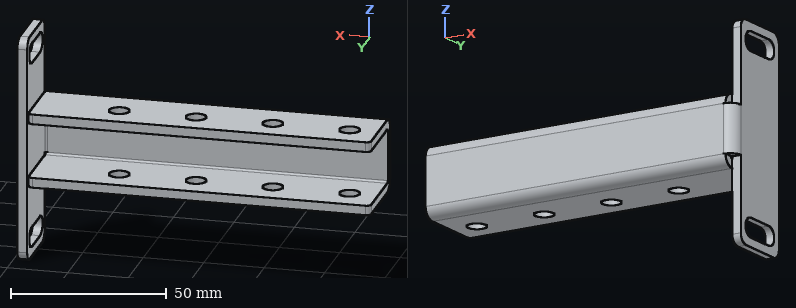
import cadquery as cq

thickness = 3.3
bend_outer_radius = 4.0
bend_inner_radius = bend_outer_radius - thickness
total_length = 116.59
total_depth = 27.3

channel_height = 24.9
flange_depth = 26.6
flange_corner_radius = 1.5

plate_height = 75.69
plate_corner_radius = 3.3
plate_depth = total_depth - bend_outer_radius
plate_inner_x = total_length - thickness

hole_diameter = 6.6
hole_count = 4
hole_pitch = 25.4
first_hole_x = 9.4
hole_y = 16.2

slot_length = 17.4
slot_width = 6.6
slot_spacing = 62.5
slot_y = bend_outer_radius + plate_depth / 2

bend_start_x = total_length - bend_outer_radius
bend_x_range = (bend_start_x, total_length)
bend_y_range = (0, bend_outer_radius)
web_flat_height = channel_height - 2 * bend_outer_radius


def box(x_range, y_range, z_height):
    """Box spanning the given X and Y ranges, centred on Z = 0."""
    (x0, x1), (y0, y1) = x_range, y_range
    block = cq.Workplane("XY").box(x1 - x0, y1 - y0, z_height, centered=(False, False, True))
    return block.translate((x0, y0, 0))


def make_channel():
    """U-shaped arm with rounded long bends and rounded flange corners."""
    arm = (0, plate_inner_x)
    outer = box(arm, (0, flange_depth), channel_height)
    outer = outer.edges("|X and <Y").fillet(bend_outer_radius)
    inner = box(arm, (thickness, flange_depth), channel_height - 2 * thickness)
    inner = inner.edges("|X and <Y").fillet(bend_inner_radius)
    channel = outer.cut(inner)
    channel = channel.edges("|Z and >Y").fillet(flange_corner_radius)
    return channel.cut(box(bend_x_range, bend_y_range, web_flat_height))


def make_end_bend():
    """Quarter-round bend that carries the flat of the web into the plate."""
    ring = (
        cq.Workplane("XY", origin=(0, 0, -web_flat_height / 2))
        .center(bend_start_x, bend_outer_radius)
        .circle(bend_outer_radius)
        .circle(bend_inner_radius)
        .extrude(web_flat_height)
    )
    return ring.intersect(box(bend_x_range, bend_y_range, web_flat_height))


def make_plate():
    """Upright plate with rounded corners and a slot near each end."""
    plate = box((plate_inner_x, total_length), (bend_outer_radius, total_depth), plate_height)
    plate = plate.edges("|X").fillet(plate_corner_radius)
    slots = (
        cq.Workplane("YZ", origin=(plate_inner_x, slot_y, 0))
        .rarray(1, slot_spacing, 1, 2)
        .slot2D(slot_length, slot_width)
        .extrude(thickness)
    )
    return plate.cut(slots)


def make_flange_holes():
    """Row of cylinders passing through both flanges."""
    centers = [(first_hole_x + i * hole_pitch, hole_y) for i in range(hole_count)]
    return (
        cq.Workplane("XY", origin=(0, 0, -channel_height / 2))
        .pushPoints(centers)
        .circle(hole_diameter / 2)
        .extrude(channel_height)
    )


result = make_channel().union(make_end_bend()).union(make_plate()).cut(make_flange_holes())